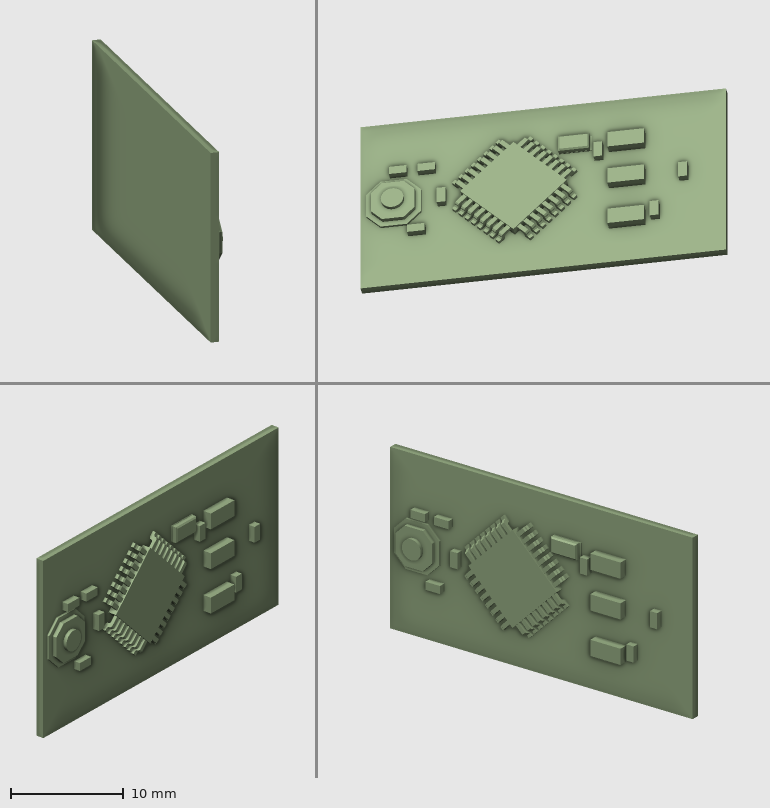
import cadquery as cq


BOARD_WIDTH = 33.0
BOARD_HEIGHT = 17.8
BOARD_THICKNESS = 0.8

CHIP_LENGTH = 1.6
CHIP_WIDTH = 0.8
CHIP_HEIGHT = 0.65
UPRIGHT_CHIPS = [(-12.7, 0.03), (-10.13, -3.93), (-5.05, 3.25), (9.1, 0.03)]
LYING_CHIPS = [(10.45, 3.3), (13.05, 3.3), (11.4, -3.3)]

TALL_CHIP_LENGTH = 3.3
TALL_CHIP_WIDTH = 1.6
TALL_CHIP_HEIGHT = 0.85
TALL_CHIP_X = -7.6
TALL_CHIP_ROWS = [4.03, 0.03, -4.42]

DIODE_CENTER = (-2.85, 4.35)
DIODE_LENGTH = 2.8
DIODE_WIDTH = 1.6
DIODE_HEIGHT = 0.65
DIODE_BEVEL = 0.13
DIODE_FOOT_OVERHANG = 0.15
DIODE_FOOT_HEIGHT = 0.1

PACKAGE_CENTER = (2.55, 0.03)
PACKAGE_SIDES = 4
QUARTER_TURN = 360.0 / PACKAGE_SIDES
PACKAGE_TURN = 45.0
PACKAGE_SIDE = 6.8
PACKAGE_HEIGHT = 0.85
LEADS_PER_SIDE = 8
LEAD_PITCH = 0.8
LEAD_WIDTH = 0.43
LEAD_THICKNESS = 0.33
LEAD_REACH = 4.98
LEAD_TOP = 0.75
LEAD_BEND_OUTER = 4.55
LEAD_BEND_INNER = LEAD_BEND_OUTER - LEAD_THICKNESS
LEAD_BEVEL = 0.13
LEAD_ROOT_OVERLAP = 0.15

SWITCH_CENTER = (13.45, 0.0)
SWITCH_BASE_SIDE = 4.95
SWITCH_BASE_CORNER = 1.3
SWITCH_BASE_HEIGHT = 0.23
SWITCH_BODY_SIDE = 3.95
SWITCH_BODY_CORNER = 1.0
SWITCH_BODY_HEIGHT = 0.65
BUTTON_RADIUS = 1.02
BUTTON_HEIGHT = 1.02


def block(center, size_x, size_z, height):
    """Rectangular block standing on the parts side of the board."""
    return cq.Workplane("XZ").center(*center).rect(size_x, size_z).extrude(-height)


def diode():
    x, z = DIODE_CENTER
    body = block(DIODE_CENTER, DIODE_LENGTH, DIODE_WIDTH, DIODE_HEIGHT)
    body = body.faces(">Y or <Y").chamfer(DIODE_BEVEL)
    foot_length = DIODE_LENGTH + DIODE_FOOT_OVERHANG
    foot_center = (x - DIODE_FOOT_OVERHANG / 2, z)
    return body.union(block(foot_center, foot_length, DIODE_WIDTH, DIODE_FOOT_HEIGHT))


def lead(offset):
    """One bent lead on the +X side of the package, before the package is turned."""
    root = PACKAGE_SIDE / 2 - LEAD_ROOT_OVERLAP
    shoulder_bottom = LEAD_TOP - LEAD_THICKNESS
    profile = [
        (root, LEAD_TOP),
        (LEAD_BEND_OUTER - LEAD_BEVEL, LEAD_TOP),
        (LEAD_BEND_OUTER, LEAD_TOP - LEAD_BEVEL),
        (LEAD_BEND_OUTER, LEAD_THICKNESS + LEAD_BEVEL),
        (LEAD_BEND_OUTER + LEAD_BEVEL, LEAD_THICKNESS),
        (LEAD_REACH, LEAD_THICKNESS),
        (LEAD_REACH, 0),
        (LEAD_BEND_INNER + LEAD_BEVEL, 0),
        (LEAD_BEND_INNER, LEAD_BEVEL),
        (LEAD_BEND_INNER, shoulder_bottom - LEAD_BEVEL),
        (LEAD_BEND_INNER - LEAD_BEVEL, shoulder_bottom),
        (root, shoulder_bottom),
    ]
    blade = cq.Workplane("XY").polyline(profile).close().extrude(LEAD_WIDTH / 2, both=True)
    return blade.translate((0, 0, offset))


def package():
    body = block((0, 0), PACKAGE_SIDE, PACKAGE_SIDE, PACKAGE_HEIGHT)
    first_offset = -LEAD_PITCH * (LEADS_PER_SIDE - 1) / 2
    for side in range(PACKAGE_SIDES):
        for index in range(LEADS_PER_SIDE):
            one_lead = lead(first_offset + index * LEAD_PITCH)
            body = body.union(one_lead.rotate((0, 0, 0), (0, 1, 0), side * QUARTER_TURN))
    x, z = PACKAGE_CENTER
    return body.rotate((0, 0, 0), (0, 1, 0), PACKAGE_TURN).translate((x, 0, z))


def switch():
    base = block(SWITCH_CENTER, SWITCH_BASE_SIDE, SWITCH_BASE_SIDE, SWITCH_BASE_HEIGHT)
    base = base.edges("|Y").chamfer(SWITCH_BASE_CORNER)
    body = block(SWITCH_CENTER, SWITCH_BODY_SIDE, SWITCH_BODY_SIDE, SWITCH_BODY_HEIGHT)
    body = body.edges("|Y").chamfer(SWITCH_BODY_CORNER)
    button = cq.Workplane("XZ").center(*SWITCH_CENTER).circle(BUTTON_RADIUS).extrude(-BUTTON_HEIGHT)
    return base.union(body).union(button)


result = cq.Workplane("XZ").rect(BOARD_WIDTH, BOARD_HEIGHT).extrude(BOARD_THICKNESS)

for chip_center in UPRIGHT_CHIPS:
    result = result.union(block(chip_center, CHIP_WIDTH, CHIP_LENGTH, CHIP_HEIGHT))
for chip_center in LYING_CHIPS:
    result = result.union(block(chip_center, CHIP_LENGTH, CHIP_WIDTH, CHIP_HEIGHT))
for row in TALL_CHIP_ROWS:
    tall_chip = block((TALL_CHIP_X, row), TALL_CHIP_LENGTH, TALL_CHIP_WIDTH, TALL_CHIP_HEIGHT)
    result = result.union(tall_chip)

result = result.union(diode())
result = result.union(package())
result = result.union(switch())